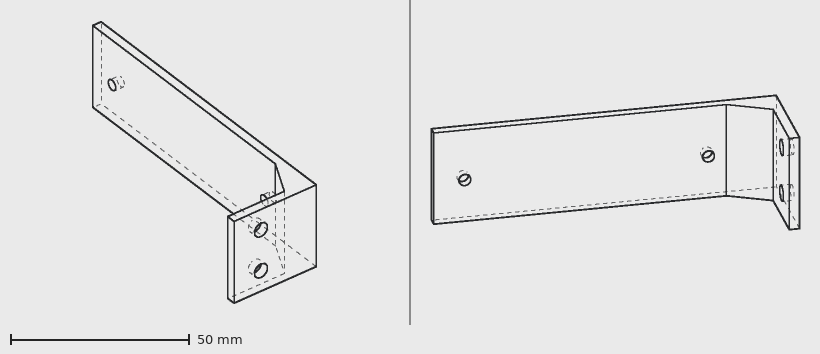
import cadquery as cq

length = 99.0
depth = 29.0
height = 28.1
thickness = 3.0

gusset_length = 12.0
gusset_depth = 6.0

plate_hole_diameter = 3.4
plate_hole_end_distance = 8.9
plate_hole_spacing = 70.0
plate_hole_height = 12.7

flange_hole_diameter = 4.6
flange_hole_tip_distance = 9.5
flange_hole_spacing = height / 2

plate_front = depth - thickness
flange_inner = length - thickness


def make_bracket():
    """L-shaped profile with a gusset, extruded to the full height."""
    outline = [
        (0, depth),
        (length, depth),
        (length, 0),
        (flange_inner, 0),
        (flange_inner, plate_front - gusset_depth),
        (flange_inner - gusset_length, plate_front),
        (0, plate_front),
    ]
    return cq.Workplane("XY").polyline(outline).close().extrude(height)


def make_plate_holes():
    """Cylinders along Y through the long plate."""
    first = (plate_hole_end_distance, plate_hole_height)
    second = (plate_hole_end_distance + plate_hole_spacing, plate_hole_height)
    return (
        cq.Workplane("XZ", origin=(0, depth, 0))
        .pushPoints([first, second])
        .circle(plate_hole_diameter / 2)
        .extrude(thickness)
    )


def make_flange_holes():
    """Cylinders along X through the flange, centred on its height."""
    lower = (flange_hole_tip_distance, (height - flange_hole_spacing) / 2)
    upper = (flange_hole_tip_distance, (height + flange_hole_spacing) / 2)
    return (
        cq.Workplane("YZ", origin=(flange_inner, 0, 0))
        .pushPoints([lower, upper])
        .circle(flange_hole_diameter / 2)
        .extrude(thickness)
    )


result = make_bracket().cut(make_plate_holes()).cut(make_flange_holes())